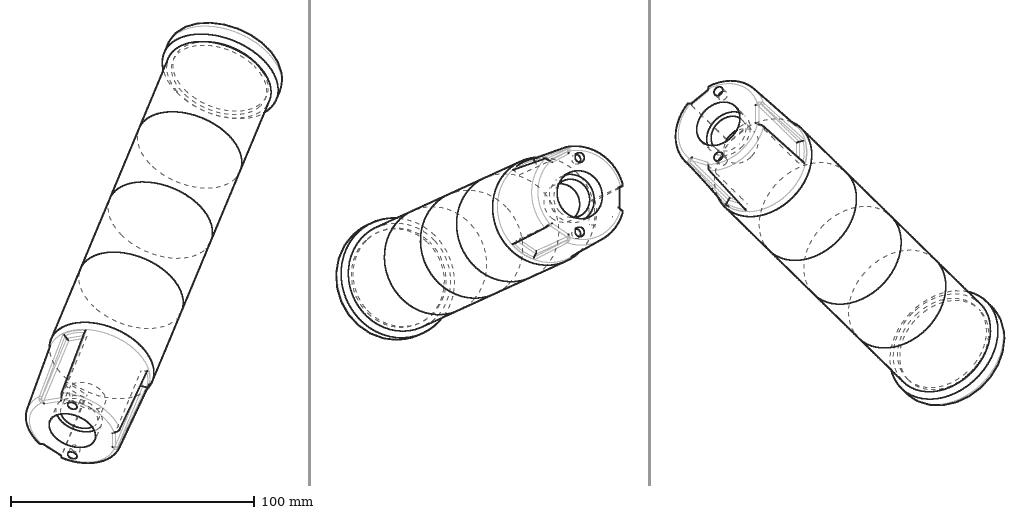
import cadquery as cq
import math


total_length = 212.8
section_length = 40.0
ring_count = 4
ring_diameter = 45.0
cap_diameter = 50.0

nose_face_diameter = 41.0
nose_taper_degrees = 2.0
nose_taper_length = 36.8
nose_end_fillet = 2.0

bore_diameter = 20.0
bore_depth = 9.0
inner_bore_diameter = 16.0
inner_bore_depth = 20.0
pin_hole_diameter = 4.0
pin_hole_spacing = 31.0
pin_hole_depth = 4.0

pocket_count = 3
pocket_width = 10.0
pocket_floor_radius = 18.0
pocket_mouth_rounding = 1.0
pocket_end = 35.7
pocket_floor_fillet = 0.9
pocket_rim_fillet = 0.6

neck_diameter = 41.0
neck_length = 2.0
rim_length = 4.7
dome_side_rise = 4.7
dome_shoulder_radius = 21.0
dome_shoulder_drop = 1.3
dome_crown_radius = 10.6

cap_start = (ring_count + 1) * section_length


def revolve_about_y(profile):
    """Turn a closed half-profile, drawn as radius along X against Y, into a round body."""
    return profile.close().revolve(360, (0, 0, 0), (0, 1, 0))


def cylinder_along_y(diameter, length, x=0.0, z=0.0):
    """A cylinder that starts on the nose face and runs toward +Y."""
    return cq.Workplane(cq.Solid.makeCylinder(diameter / 2, length, cq.Vector(x, 0, z), cq.Vector(0, 1, 0)))


def make_nose_blank():
    """Tapered nose with a chamfered shoulder that meets the first ring."""
    face_radius = nose_face_diameter / 2
    shoulder_radius = face_radius + nose_taper_length * math.tan(math.radians(nose_taper_degrees))
    blank = revolve_about_y(
        cq.Workplane("XY")
        .moveTo(0, 0)
        .lineTo(face_radius, 0)
        .lineTo(shoulder_radius, nose_taper_length)
        .lineTo(ring_diameter / 2, section_length)
        .lineTo(0, section_length)
    )
    return blank.rotate((0, 0, 0), (0, 1, 0), 180)


def make_pocket_cutter(angle):
    """A block with a flat floor that rounds over into the nose face, turned about Y."""
    rounding_centre_x = pocket_floor_radius - pocket_mouth_rounding
    rounding_mid_x = rounding_centre_x + pocket_mouth_rounding * math.sqrt(0.5)
    rounding_mid_y = pocket_mouth_rounding * (1 - math.sqrt(0.5))
    block = (
        cq.Workplane("XY")
        .moveTo(rounding_centre_x, 0)
        .threePointArc((rounding_mid_x, rounding_mid_y), (pocket_floor_radius, pocket_mouth_rounding))
        .lineTo(pocket_floor_radius, pocket_end)
        .lineTo(ring_diameter, pocket_end)
        .lineTo(ring_diameter, 0)
        .close()
        .extrude(pocket_width / 2, both=True)
    )
    floor_centre = cq.NearestToPointSelector((pocket_floor_radius, pocket_end / 2, 0))
    block = block.faces(floor_centre).edges("|Y or >Y").fillet(pocket_floor_fillet)
    return block.rotate((0, 0, 0), (0, 1, 0), angle)


def is_pocket_rim(edge):
    """True where a side or end wall of a pocket cuts through the tapered outside of the nose."""
    if edge.geomType() == "HYPERBOLA":
        return True
    middle = edge.positionAt(0.5)
    at_end_wall = math.isclose(middle.y, pocket_end, abs_tol=0.002)
    outside_face = math.hypot(middle.x, middle.z) > nose_face_diameter / 2
    return at_end_wall and outside_face and edge.geomType() == "CIRCLE"


def make_nose():
    nose = make_nose_blank().faces("<Y").edges().fillet(nose_end_fillet)
    for index in range(pocket_count):
        nose = nose.cut(make_pocket_cutter(index * 360 / pocket_count))
    nose = nose.edges().filter(is_pocket_rim).fillet(pocket_rim_fillet)
    nose = nose.cut(cylinder_along_y(bore_diameter, bore_depth))
    nose = nose.cut(cylinder_along_y(inner_bore_diameter, inner_bore_depth))
    for side in (-1, 1):
        nose = nose.cut(cylinder_along_y(pin_hole_diameter, pin_hole_depth, z=side * pin_hole_spacing / 2))
    return nose


def make_ring(index):
    """One plain handle section; the first sits directly on the nose."""
    ring = cylinder_along_y(ring_diameter, section_length)
    return ring.translate((0, (index + 1) * section_length, 0))


def make_cap():
    """Narrow neck and wide rim, closed by one smooth dome that leaves the rim upright and is flat on the axis."""
    neck_radius = neck_diameter / 2
    rim_radius = cap_diameter / 2
    rim_start = cap_start + neck_length
    rim_end = rim_start + rim_length
    dome_curve = [
        (rim_radius, rim_end),
        (rim_radius, rim_end + dome_side_rise),
        (dome_shoulder_radius, total_length - dome_shoulder_drop),
        (dome_crown_radius, total_length),
        (0, total_length),
    ]
    return revolve_about_y(
        cq.Workplane("XY")
        .moveTo(0, cap_start)
        .lineTo(neck_radius, cap_start)
        .lineTo(neck_radius, rim_start)
        .lineTo(rim_radius, rim_start)
        .lineTo(rim_radius, rim_end)
        .bezier(dome_curve)
    )


nose = make_nose()
rings = [make_ring(index) for index in range(ring_count)]
cap = make_cap()

result = cq.Compound.makeCompound([nose.val(), *[ring.val() for ring in rings], cap.val()])